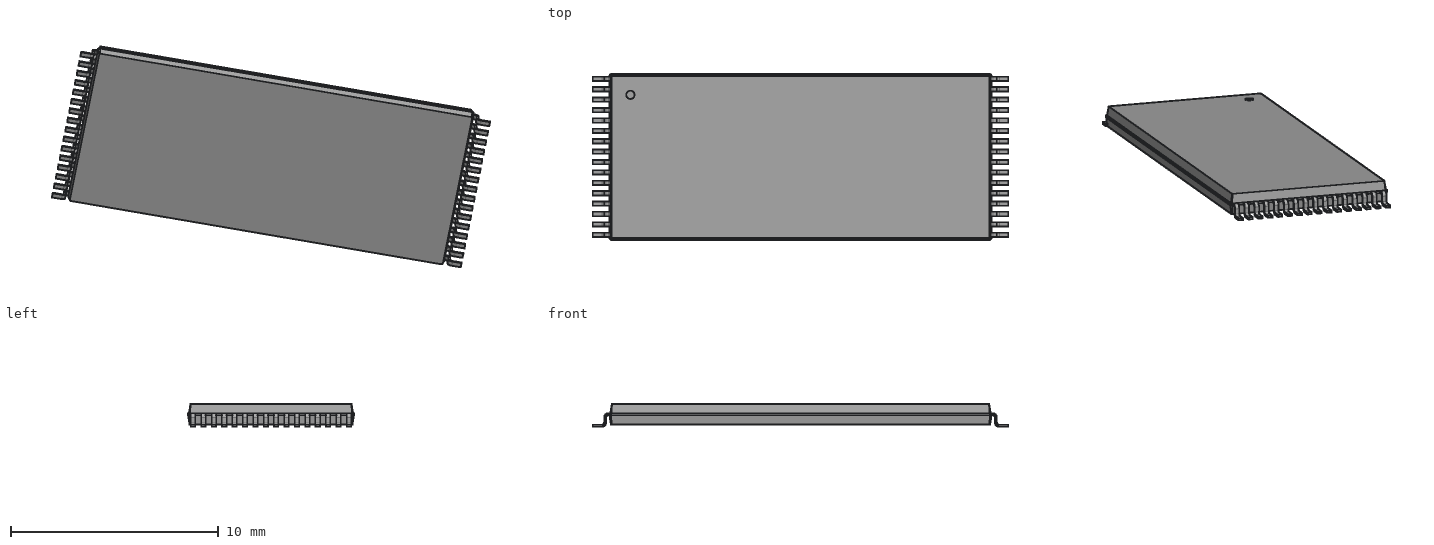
import cadquery as cq
import math

length = 20.0
body_length = 18.4
body_width = 8.0
standoff = 0.1
body_height = 1.0
body_top = standoff + body_height
mid_height = standoff + body_height / 2

band_height = 0.1
half_height = (body_height - band_height) / 2
draft = 0.07
corner_cut = 0.09
upper_ledge = 0.05
lower_ledge = 0.01

mark_diameter = 0.4
mark_depth = 0.05
mark_inset = 1.02

leads_per_side = 16
pitch = 0.5
lead_width = 0.22
lead_thickness = band_height
inner_bend = 0.1
outer_bend = inner_bend + lead_thickness
leg_offset = 0.6
lead_embed = 0.2


def make_band():
    """Straight middle band of the body with its upright corners chamfered."""
    return (
        cq.Workplane("XY", origin=(0, 0, mid_height))
        .box(body_length, body_width, band_height)
        .edges("|Z")
        .chamfer(corner_cut)
    )


def tapered_half(band, band_face, ledge):
    """Half of the body, set in from one face of the band and narrowing away from it."""
    taper = math.degrees(math.atan(draft / half_height))
    return (
        band.faces(band_face)
        .wires()
        .toPending()
        .workplane()
        .offset2D(-ledge)
        .extrude(half_height, taper=taper, combine=False)
    )


def make_body():
    band = make_band()
    upper = tapered_half(band, ">Z", upper_ledge)
    lower = tapered_half(band, "<Z", lower_ledge)
    return band.union(upper).union(lower)


def make_pin_mark():
    return (
        cq.Workplane("XY", origin=(0, 0, body_top - mark_depth))
        .center(mark_inset - body_length / 2, body_width / 2 - mark_inset)
        .circle(mark_diameter / 2)
        .extrude(mark_depth)
    )


def make_lead():
    """One lead on the -X end, centered on Y = 0: foot, leg and shoulder of even thickness."""
    tip = -length / 2
    leg_outer = tip + leg_offset - lead_thickness / 2
    leg_inner = leg_outer + lead_thickness
    root = -body_length / 2 + lead_embed
    shoulder_top = mid_height + lead_thickness / 2
    shoulder_bottom = shoulder_top - lead_thickness
    foot_bend = leg_outer - inner_bend
    shoulder_bend = leg_inner + inner_bend
    return (
        cq.Workplane("XZ", origin=(0, lead_width / 2, 0))
        .moveTo(tip, 0)
        .lineTo(foot_bend, 0)
        .radiusArc((leg_inner, outer_bend), -outer_bend)
        .lineTo(leg_inner, shoulder_bottom - inner_bend)
        .radiusArc((shoulder_bend, shoulder_bottom), inner_bend)
        .lineTo(root, shoulder_bottom)
        .lineTo(root, shoulder_top)
        .lineTo(shoulder_bend, shoulder_top)
        .radiusArc((leg_outer, shoulder_top - outer_bend), -outer_bend)
        .lineTo(leg_outer, outer_bend)
        .radiusArc((foot_bend, lead_thickness), inner_bend)
        .lineTo(tip, lead_thickness)
        .close()
        .extrude(lead_width)
    )


result = make_body().cut(make_pin_mark())

left_lead = make_lead()
right_lead = left_lead.mirror("YZ")
for index in range(leads_per_side):
    lead_y = (index - (leads_per_side - 1) / 2) * pitch
    result = result.union(left_lead.translate((0, lead_y, 0)))
    result = result.union(right_lead.translate((0, lead_y, 0)))